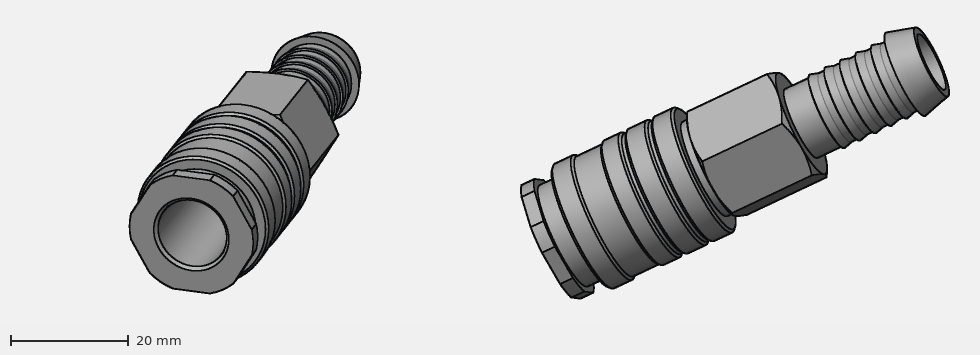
import cadquery as cq
import math

LENGTH = 73.0

HEX_HALF_ANGLE = 30.0

COLLAR_DIAMETER = 22.1
COLLAR_FLATS = 21.1
COLLAR_LENGTH = 2.5

FRONT_NECK_DIAMETER = 19.1
SLEEVE_START = 6.0
SLEEVE_BARREL_DIAMETER = 22.6
RING_DIAMETER = 23.5
RING_CHAMFER = 0.45
RING_LENGTH = 4.4
SHORT_RING_LENGTH = 4.0
GROOVE_LENGTH = 0.65
SLEEVE_END = 29.6
REAR_NECK_DIAMETER = 17.8

HEX_FLATS = 19.0
HEX_START = 31.0
HEX_END = 48.0
HEX_CHAMFER_ANGLE = 30.0

TAIL_DIAMETER = 13.0
BARB_DIAMETER = 13.9
BARB_LENGTH = 1.5
BARB_PITCH = 3.0
BARB_COUNT = 5
FIRST_BARB_START = 53.0
TIP_BARB_DIAMETER = 15.7
TIP_BARB_LENGTH = 5.0

BORE_DIAMETER = 10.45
SOCKET_DIAMETER = 12.3
SOCKET_DEPTH = HEX_START
MOUTH_DIAMETER = 13.4
MOUTH_CHAMFER_LENGTH = (MOUTH_DIAMETER - SOCKET_DIAMETER) / 2


def frustum(start, end, start_diameter, end_diameter):
    """Solid of revolution about Y whose diameter changes evenly from start to end."""
    profile = [
        (0, start),
        (start_diameter / 2, start),
        (end_diameter / 2, end),
        (0, end),
    ]
    return cq.Workplane("XY").polyline(profile).close().revolve(360, (0, 0), (0, 1))


def cylinder(start, end, diameter):
    return frustum(start, end, diameter, diameter)


def corner_diameter(across_flats):
    return across_flats / math.cos(math.radians(HEX_HALF_ANGLE))


def hexagon(start, end, across_flats):
    """Hexagonal prism along Y with two flats facing up and down."""
    return (
        cq.Workplane("XZ", origin=(0, start, 0))
        .polygon(6, corner_diameter(across_flats))
        .extrude(start - end)
    )


def double_chamfered(start, end, diameter, chamfer_length, chamfer_depth):
    """Cylinder along Y with the same chamfer on both rims."""
    rim_diameter = diameter - 2 * chamfer_depth
    front = frustum(start, start + chamfer_length, rim_diameter, diameter)
    middle = cylinder(start + chamfer_length, end - chamfer_length, diameter)
    rear = frustum(end - chamfer_length, end, diameter, rim_diameter)
    return front.union(middle).union(rear)


def collar():
    disc = cylinder(0, COLLAR_LENGTH, COLLAR_DIAMETER)
    return disc.intersect(hexagon(0, COLLAR_LENGTH, COLLAR_FLATS))


def ring(start, end):
    return double_chamfered(start, end, RING_DIAMETER, RING_CHAMFER, RING_CHAMFER)


def sleeve():
    """Barrel with one ring at its front and three rings, parted by grooves, at its rear."""
    barrel_start = SLEEVE_START + RING_LENGTH / 2
    barrel_end = SLEEVE_END - RING_LENGTH / 2
    body = cylinder(barrel_start, barrel_end, SLEEVE_BARREL_DIAMETER)
    body = body.union(ring(SLEEVE_START, SLEEVE_START + RING_LENGTH))
    ring_end = SLEEVE_END
    for length in (RING_LENGTH, RING_LENGTH, SHORT_RING_LENGTH):
        ring_start = ring_end - length
        body = body.union(ring(ring_start, ring_end))
        ring_end = ring_start - GROOVE_LENGTH
    return body


def wrench_hexagon():
    """Hexagon whose corners are cut back at both ends to a circle touching the flats."""
    across_corners = corner_diameter(HEX_FLATS)
    corner_cut = (across_corners - HEX_FLATS) / 2
    cut_length = corner_cut * math.tan(math.radians(HEX_CHAMFER_ANGLE))
    envelope = double_chamfered(HEX_START, HEX_END, across_corners, cut_length, corner_cut)
    return hexagon(HEX_START, HEX_END, HEX_FLATS).intersect(envelope)


def hose_tail():
    tail = cylinder(HEX_END, LENGTH, TAIL_DIAMETER)
    for index in range(BARB_COUNT):
        start = FIRST_BARB_START + index * BARB_PITCH
        tail = tail.union(frustum(start, start + BARB_LENGTH, BARB_DIAMETER, TAIL_DIAMETER))
    tip = frustum(LENGTH - TIP_BARB_LENGTH, LENGTH, TIP_BARB_DIAMETER, TAIL_DIAMETER)
    return tail.union(tip)


def stepped_bore():
    mouth = frustum(0, MOUTH_CHAMFER_LENGTH, MOUTH_DIAMETER, SOCKET_DIAMETER)
    socket = cylinder(0, SOCKET_DEPTH, SOCKET_DIAMETER)
    return cylinder(0, LENGTH, BORE_DIAMETER).union(socket).union(mouth)


front_neck = cylinder(COLLAR_LENGTH, SLEEVE_START, FRONT_NECK_DIAMETER)
rear_neck = cylinder(SLEEVE_END, HEX_START, REAR_NECK_DIAMETER)

result = (
    collar()
    .union(front_neck)
    .union(sleeve())
    .union(rear_neck)
    .union(wrench_hexagon())
    .union(hose_tail())
    .cut(stepped_bore())
)